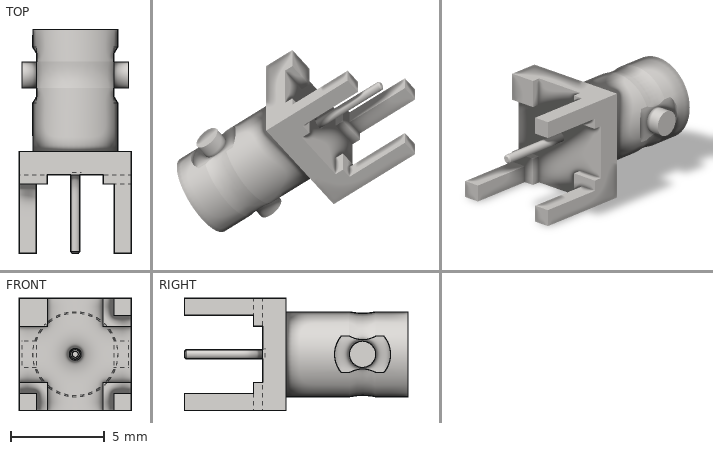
import cadquery as cq

total_length = 11.96

flange_side = 6.0
pad_side = 1.51
post_side = 0.92
pad_end_y = 3.7
flange_rear_y = 4.19
flange_front_y = 5.44
bare_corner = (-1, 1)

barrel_radius = 2.27
groove_depth = 0.07

lug_diameter = 1.4
lug_centre_y = 9.52
lug_reach = 2.85
flat_reach = 2.06
spot_face_diameter = 2.99

contact_diameter = 0.49
contact_chamfer = 0.08
bore_diameter = 0.63
bore_depth = 0.12

groove_width = lug_diameter


def cylinder_along_y(diameter, start_y, end_y):
    plane = cq.Workplane("XZ", origin=(0, start_y, 0))
    return plane.circle(diameter / 2).extrude(start_y - end_y)


def cylinder_along_x(diameter, start_x, end_x):
    """Cylinder parallel to X, centred on the lug axis."""
    plane = cq.Workplane("YZ", origin=(start_x, lug_centre_y, 0))
    return plane.circle(diameter / 2).extrude(end_x - start_x)


def corner_block(sign_x, sign_z, side, start_y, end_y):
    """Square block flush with the outer edges of one flange corner."""
    offset = (flange_side - side) / 2
    length = end_y - start_y
    block = cq.Workplane("XY").box(side, length, side)
    return block.translate((sign_x * offset, start_y + length / 2, sign_z * offset))


def make_flange():
    thickness = flange_front_y - flange_rear_y
    flange = cq.Workplane("XY").box(flange_side, thickness, flange_side)
    flange = flange.translate((0, flange_rear_y + thickness / 2, 0))
    for sign_x in (-1, 1):
        for sign_z in (-1, 1):
            flange = flange.union(corner_block(sign_x, sign_z, pad_side, pad_end_y, flange_rear_y))
            if (sign_x, sign_z) != bare_corner:
                flange = flange.union(corner_block(sign_x, sign_z, post_side, 0, flange_rear_y))
    return flange


def make_barrel():
    """Revolved barrel, spot-faced on both sides to carry the lugs."""
    groove_start_y = lug_centre_y - groove_width / 2
    groove_end_y = lug_centre_y + groove_width / 2
    profile = (
        cq.Workplane("XY")
        .moveTo(0, flange_front_y)
        .lineTo(barrel_radius, flange_front_y)
        .lineTo(barrel_radius, groove_start_y)
        .threePointArc((barrel_radius - groove_depth, lug_centre_y), (barrel_radius, groove_end_y))
        .lineTo(barrel_radius, total_length)
        .lineTo(0, total_length)
        .close()
    )
    barrel = profile.revolve(360, (0, 0, 0), (0, 1, 0))
    for side in (-1, 1):
        barrel = barrel.cut(cylinder_along_x(spot_face_diameter, side * flat_reach, side * lug_reach))
    return barrel


def make_contact():
    contact = cylinder_along_y(contact_diameter, 0, flange_rear_y + bore_depth)
    return contact.faces("<Y").chamfer(contact_chamfer)


lugs = cylinder_along_x(lug_diameter, -lug_reach, lug_reach)
contact_bore = cylinder_along_y(bore_diameter, flange_rear_y, flange_rear_y + bore_depth)

result = make_flange().union(make_barrel()).union(lugs).cut(contact_bore).union(make_contact())